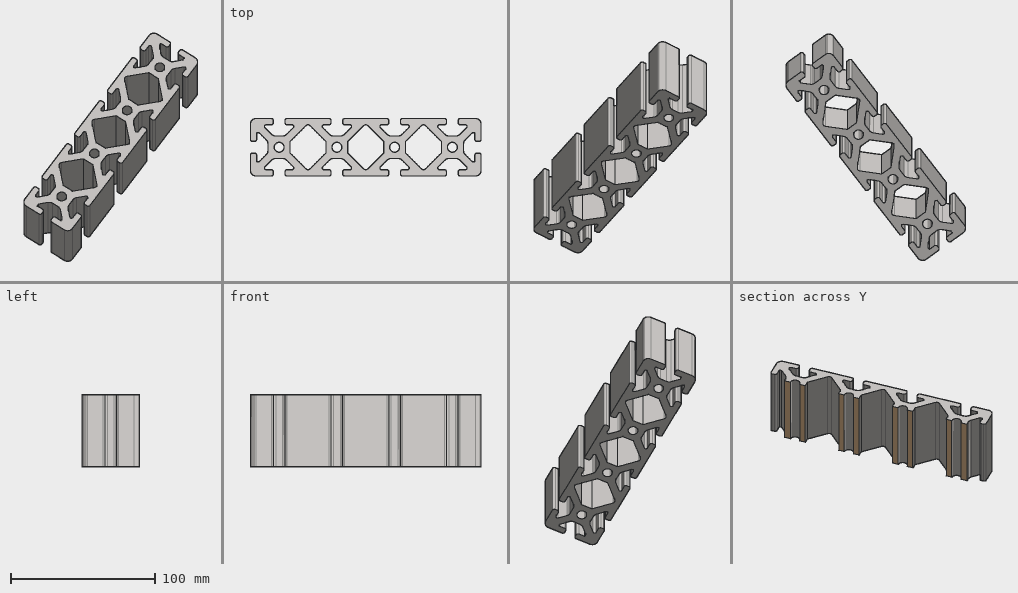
import cadquery as cq

cell_count = 4
cell_pitch = 40.0
length = 50.0
corner_radius = 4.0
profile_width = cell_count * cell_pitch
half_cell = cell_pitch / 2

bore_diameter = 6.7

slot_half_opening = 4.0
slot_floor_height = 7.8
floor_half_width = 4.0
lip_thickness = 4.5
lip_underside = half_cell - lip_thickness
floor_fillet = 4.0
undercut_fillet = 1.1
lip_fillet = 1.5

end_undercut_half_width = 10.0

chamber_half_width = 12.3
chamber_side_half_height = 4.0
chamber_peak_height = chamber_half_width + chamber_side_half_height
chamber_peak_fillet = 2.0

overshoot = 3.2

cell_centres = [(i - (cell_count - 1) / 2) * cell_pitch for i in range(cell_count)]
chamber_centres = [(a + b) / 2 for a, b in zip(cell_centres, cell_centres[1:])]


def mirrored_prism(right_side):
    """Extrude the outline made of right_side (from bottom to top) and its mirror image in the Y axis."""
    left_side = [(-x, y) for x, y in reversed(right_side)]
    return cq.Workplane("XY").polyline(right_side + left_side).close().extrude(length)


def fillet_upright_edges(body, points, radius):
    """Round the upright edges of body standing at the given points."""
    for x, y in points:
        picker = cq.selectors.NearestToPointSelector((x, y, length / 2))
        body = body.edges("|Z").edges(picker).fillet(radius)
    return body


def fillet_mirrored_edges(body, x, y, radius):
    """Round the upright edges of body at (x, y) and (-x, y)."""
    return fillet_upright_edges(body, [(x, y), (-x, y)], radius)


def side_slot_cutter():
    """T-slot facing +Y, centred on the cell, with sharp undercuts rounded at their tips."""
    undercut_half_width = floor_half_width + lip_underside - slot_floor_height
    cutter = mirrored_prism([
        (floor_half_width, slot_floor_height),
        (undercut_half_width, lip_underside),
        (slot_half_opening, lip_underside),
        (slot_half_opening, half_cell + overshoot),
    ])
    cutter = fillet_mirrored_edges(cutter, floor_half_width, slot_floor_height, floor_fillet)
    return fillet_mirrored_edges(cutter, undercut_half_width, lip_underside, undercut_fillet)


def end_slot_cutter():
    """T-slot facing +Y, centred on the cell, with blunt square-ended undercuts."""
    flank_top = slot_floor_height + end_undercut_half_width - floor_half_width
    cutter = mirrored_prism([
        (floor_half_width, slot_floor_height),
        (end_undercut_half_width, flank_top),
        (end_undercut_half_width, lip_underside),
        (slot_half_opening, lip_underside),
        (slot_half_opening, half_cell + overshoot),
    ])
    return fillet_mirrored_edges(cutter, floor_half_width, slot_floor_height, floor_fillet)


def chamber_cutter():
    """Six-sided chamber, rounded at its upper and lower peaks."""
    corners = [
        (chamber_half_width, -chamber_side_half_height),
        (chamber_half_width, chamber_side_half_height),
        (0, chamber_peak_height),
        (-chamber_half_width, chamber_side_half_height),
        (-chamber_half_width, -chamber_side_half_height),
        (0, -chamber_peak_height),
    ]
    cutter = cq.Workplane("XY").polyline(corners).close().extrude(length)
    peaks = [(0, chamber_peak_height), (0, -chamber_peak_height)]
    return fillet_upright_edges(cutter, peaks, chamber_peak_fillet)


def turned(body, angle):
    """Turn body about the Z axis by an angle in degrees."""
    return body.rotate((0, 0, 0), (0, 0, 1), angle)


result = cq.Workplane("XY").rect(profile_width, cell_pitch).extrude(length)
result = result.edges("|Z").fillet(corner_radius)

bore_points = [(x, 0) for x in cell_centres]
bores = cq.Workplane("XY").pushPoints(bore_points).circle(bore_diameter / 2).extrude(length)
result = result.cut(bores)

side_slot = side_slot_cutter()
for x in cell_centres:
    for angle in (0, 180):
        result = result.cut(turned(side_slot, angle).translate((x, 0, 0)))

end_slot = end_slot_cutter()
for x, angle in ((cell_centres[0], 90), (cell_centres[-1], -90)):
    result = result.cut(turned(end_slot, angle).translate((x, 0, 0)))

chamber = chamber_cutter()
for x in chamber_centres:
    result = result.cut(chamber.translate((x, 0, 0)))

signs = (-1, 1)
lip_sides = [x + s * slot_half_opening for x in cell_centres for s in signs]
lip_faces = [s * y for y in (half_cell, lip_underside) for s in signs]
result = fillet_upright_edges(result, [(x, y) for x in lip_sides for y in lip_faces], lip_fillet)

end_lip_sides = [s * slot_half_opening for s in signs]
end_lip_faces = [s * x for x in (profile_width / 2, profile_width / 2 - lip_thickness) for s in signs]
result = fillet_upright_edges(result, [(x, y) for x in end_lip_faces for y in end_lip_sides], lip_fillet)